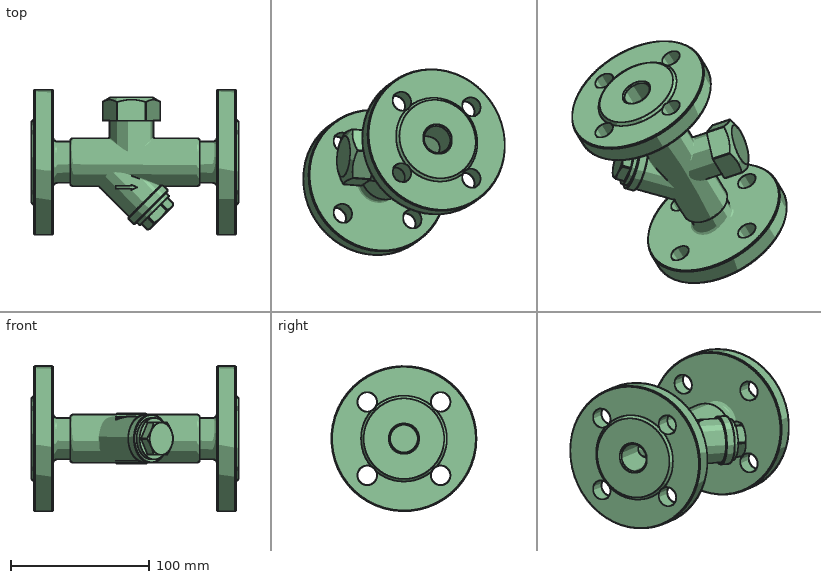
import cadquery as cq
import math

length = 150.0

flange_diameter = 105.0
flange_thickness = 14.0
flange_chamfer_axial = 1.0
flange_chamfer_radial = 0.6
raised_face_diameter = 62.1
raised_face_height = 2.0
bolt_hole_diameter = 14.0
bolt_circle_diameter = 75.0
bolt_count = 4

neck_diameter = 30.0
neck_fillet = 3.0
body_diameter = 35.0
body_length = 93.9
body_edge_fillet = 2.4
junction_fillet = 0.8

bore_diameter = 20.0
bore_chamfer = 1.0
bore_depth = 34.5
bore_stub_diameter = 22.5

boss_diameter = 32.0
boss_x = -2.5
cover_base_y = 30.0
cover_height = 17.1
cover_across_flats = 36.5
cover_corner_diameter = 41.7
cover_top_diameter = 29.7

branch_diameter = 32.0
branch_angle = -45.0
branch_axis_x = -21.0
branch_length = 46.4
rim_diameter = 35.0
rim_width = 6.6
rim_chamfer = 0.5
collar_diameter = 30.0
collar_width = 3.2
plug_across_flats = 23.5
plug_corner_diameter = 26.7
plug_height = 7.0
plug_top_diameter = 23.4

arrow_tail_x = -13.8
arrow_head_x = -2.8
arrow_tip_x = 1.5
arrow_y = -18.2
arrow_shaft_width = 2.0
arrow_head_width = 3.9
arrow_relief = 0.2

hexagon_chamfer_angle = 30.0

half_length = length / 2
flange_outer_x = half_length - raised_face_height
flange_inner_x = flange_outer_x - flange_thickness
body_end_x = body_length / 2

branch_direction = cq.Vector(
    math.cos(math.radians(branch_angle)),
    math.sin(math.radians(branch_angle)),
    0,
)


def branch_plane(distance):
    """Plane across the branch axis, at a distance from the body axis."""
    origin = cq.Vector(branch_axis_x, 0, 0) + branch_direction * distance
    return cq.Plane(origin=origin.toTuple(), xDir=(0, 0, 1), normal=branch_direction.toTuple())


def chamfered_hexagon(plane, across_flats, corner_diameter, top_diameter, height):
    """Hexagonal prism with clipped corners and a chamfer at its free end."""
    prism = cq.Workplane(plane).polygon(6, across_flats, circumscribed=True).extrude(height)
    corner_radius = corner_diameter / 2
    top_radius = top_diameter / 2
    chamfer_height = (corner_radius - top_radius) * math.tan(math.radians(hexagon_chamfer_angle))
    envelope = (
        cq.Workplane(cq.Plane(origin=plane.origin, xDir=plane.xDir, normal=-plane.yDir))
        .moveTo(0, 0)
        .lineTo(corner_radius, 0)
        .lineTo(corner_radius, height - chamfer_height)
        .lineTo(top_radius, height)
        .lineTo(0, height)
        .close()
        .revolve(360, (0, 0), (0, 1))
    )
    return prism.intersect(envelope)


def straight_body():
    """Round body along X with rounded end edges."""
    return (
        cq.Workplane("YZ")
        .circle(body_diameter / 2)
        .extrude(body_end_x, both=True)
        .clean()
        .edges("%CIRCLE")
        .fillet(body_edge_fillet)
    )


def flanged_neck():
    """Neck and flange at the +X end, turned about the X axis."""
    flange_radius = flange_diameter / 2
    face_radius = raised_face_diameter / 2
    neck_radius = neck_diameter / 2
    rim_radius = flange_radius - flange_chamfer_radial
    return (
        cq.Workplane("XY")
        .moveTo(body_end_x, 0)
        .lineTo(body_end_x, neck_radius)
        .lineTo(flange_inner_x - neck_fillet, neck_radius)
        .radiusArc((flange_inner_x, neck_radius + neck_fillet), -neck_fillet)
        .lineTo(flange_inner_x, rim_radius)
        .lineTo(flange_inner_x + flange_chamfer_axial, flange_radius)
        .lineTo(flange_outer_x - flange_chamfer_axial, flange_radius)
        .lineTo(flange_outer_x, rim_radius)
        .lineTo(flange_outer_x, face_radius)
        .lineTo(half_length, face_radius - raised_face_height)
        .lineTo(half_length, 0)
        .close()
        .revolve(360, (0, 0, 0), (1, 0, 0))
    )


def bolt_holes():
    """Bolt holes through both flanges, straddling the centre lines."""
    return (
        cq.Workplane("YZ", origin=(-half_length, 0, 0))
        .polarArray(bolt_circle_diameter / 2, 180 / bolt_count, 360, bolt_count)
        .circle(bolt_hole_diameter / 2)
        .extrude(length)
    )


def boss():
    return (
        cq.Workplane("XZ", origin=(boss_x, 0, 0))
        .circle(boss_diameter / 2)
        .extrude(-cover_base_y)
    )


def cover():
    plane = cq.Plane(origin=(boss_x, cover_base_y, 0), xDir=(0, 0, 1), normal=(0, 1, 0))
    return chamfered_hexagon(
        plane, cover_across_flats, cover_corner_diameter, cover_top_diameter, cover_height
    )


def branch():
    return cq.Workplane(branch_plane(0)).circle(branch_diameter / 2).extrude(branch_length)


def branch_end():
    """Chamfered rim, collar and hexagonal plug that close the branch."""
    rim = (
        cq.Workplane(branch_plane(branch_length - rim_width))
        .circle(rim_diameter / 2)
        .extrude(rim_width)
    )
    rim = rim.faces(cq.selectors.ParallelDirSelector(branch_direction)).edges()
    rim = rim.chamfer(rim_chamfer)
    collar = (
        cq.Workplane(branch_plane(branch_length))
        .circle(collar_diameter / 2)
        .extrude(collar_width)
    )
    plug = chamfered_hexagon(
        branch_plane(branch_length + collar_width),
        plug_across_flats,
        plug_corner_diameter,
        plug_top_diameter,
        plug_height,
    )
    return rim.union(collar).union(plug)


def flow_arrow():
    """Arrow lying on the branch surface and pointing along +X."""
    half_shaft = arrow_shaft_width / 2
    half_head = arrow_head_width / 2
    outline = [
        (arrow_tail_x, half_shaft),
        (arrow_head_x, half_shaft),
        (arrow_head_x, half_head),
        (arrow_tip_x, 0),
        (arrow_head_x, -half_head),
        (arrow_head_x, -half_shaft),
        (arrow_tail_x, -half_shaft),
    ]
    relief_radius = branch_diameter / 2 + arrow_relief
    column = (
        cq.Workplane("XY", origin=(0, arrow_y, 0))
        .polyline(outline)
        .close()
        .extrude(relief_radius)
    )
    skin = cq.Workplane(branch_plane(0)).circle(relief_radius).extrude(branch_length)
    return column.intersect(skin)


def chamfered_bore(depth):
    """Bore entering from the +X end face, with a chamfered mouth."""
    radius = bore_diameter / 2
    return (
        cq.Workplane("XY")
        .moveTo(half_length, 0)
        .lineTo(half_length, radius + bore_chamfer)
        .lineTo(half_length - bore_chamfer, radius)
        .lineTo(half_length - depth, radius)
        .lineTo(half_length - depth, 0)
        .close()
        .revolve(360, (0, 0, 0), (1, 0, 0))
    )


def inlet_bore():
    """-X bore, closed by a wall square to the branch axis with a round stub on it."""
    wall_x = bore_depth - half_length
    wall_distance = (wall_x - branch_axis_x) * branch_direction.x
    wall_plane = branch_plane(wall_distance)
    wall = cq.Workplane(wall_plane).circle(length / 2).extrude(length)
    stub = cq.Workplane(wall_plane).circle(bore_stub_diameter / 2).extrude(-bore_depth)
    bore = chamfered_bore(half_length).mirror("YZ")
    return bore.cut(wall).cut(stub)


neck = flanged_neck()
body = straight_body().union(boss()).union(branch())

body = body.edges("not(%CIRCLE or %LINE)").fillet(junction_fillet)
body = body.union(neck).union(neck.mirror("YZ")).cut(bolt_holes())
result = body.union(cover()).union(branch_end()).union(flow_arrow())
result = result.cut(inlet_bore()).cut(chamfered_bore(bore_depth))